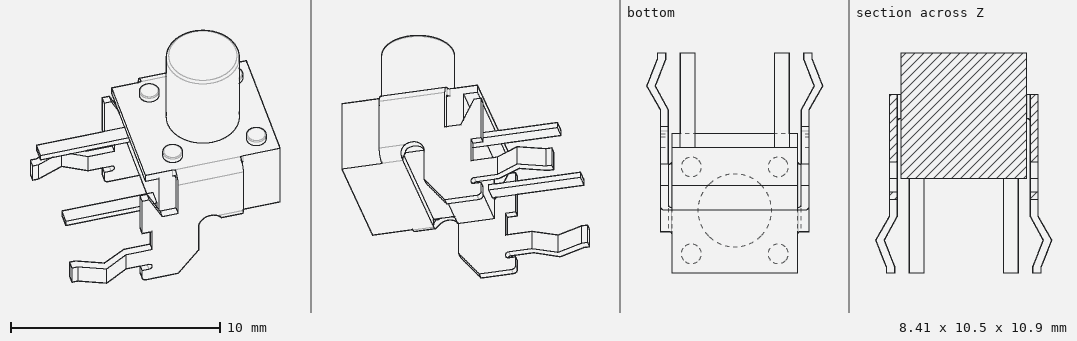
import cadquery as cq


overall_width = 8.41
overall_depth = 10.52
overall_height = 10.86

body_width = 6.0
body_back = 3.0
body_front = -3.0
body_height = 3.72
cover_front = -3.68
cover_thickness = 0.41

button_diameter = 3.5
button_height = 4.22
button_edge_radius = 0.12
rivet_diameter = 0.95
rivet_height = 0.3
rivet_edge_radius = 0.05
rivet_pitch = 4.15

pin_width = 0.72
pin_thickness = 0.3
pin_spacing = 4.5
pin_center_z = -2.64
tip_y = body_back - overall_depth

outer_x = 3.55
sheet = 0.38
inner_x = outer_x - sheet
bend_radius = 0.53
inner_bend_radius = bend_radius - sheet
corner_radius = 0.13
strap_back = 1.02
strap_front = -2.21
strap_step_z = -2.49

notch_back = -0.01
notch_front = -1.19
notch_radius = (notch_back - notch_front) / 2
notch_center_y = (notch_back + notch_front) / 2
notch_center_z = -3.09 - notch_radius
channel_depth = 0.43

blade_bottom = button_height - overall_height
blade_front = -4.0
blade_recess_y = -3.5
chamfer_top_z = -5.3
spike_root_y = body_front
spike_tip_y = -3.65
spike_top_z = -1.145
spike_bottom_z = -3.39
hook_top_z = -5.94
hook_corner_radius = 0.2

tine_top_z = -4.62
tine_bottom_z = -5.61
tine_bend_y = -4.8
tine_peak_y = -5.94
tine_tip_bend_y = -7.23
tine_peak_x = overall_width / 2
tine_tip_x = 3.7
tine_slant_width = 0.415

slot_radius = (tine_bottom_z - hook_top_z) / 2
slot_center_y = blade_recess_y - slot_radius


def block(x_range, y_range, z_range):
    """Box spanning the given coordinate ranges."""
    size = [high - low for low, high in (x_range, y_range, z_range)]
    corner = (x_range[0], y_range[0], z_range[0])
    return cq.Workplane("XY").box(*size, centered=False).translate(corner)


def make_housing():
    half = body_width / 2
    body = block((-half, half), (body_front, body_back), (-body_height, 0))
    cover = block((-half, half), (cover_front, body_back), (-cover_thickness, 0))
    channel = block(
        (-half, half), (notch_front, notch_back), (-body_height, channel_depth - body_height)
    )
    return body.cut(channel).union(cover)


def make_button():
    button = cq.Workplane("XY").circle(button_diameter / 2).extrude(button_height)
    return button.faces(">Z").edges().fillet(button_edge_radius)


def make_rivets():
    rivets = (
        cq.Workplane("XY")
        .rect(rivet_pitch, rivet_pitch, forConstruction=True)
        .vertices()
        .circle(rivet_diameter / 2)
        .extrude(rivet_height)
    )
    return rivets.faces(">Z").edges().fillet(rivet_edge_radius)


def make_pin(center_x):
    return block(
        (center_x - pin_width / 2, center_x + pin_width / 2),
        (tip_y, body_front),
        (pin_center_z - pin_thickness / 2, pin_center_z + pin_thickness / 2),
    )


def make_strap():
    """C-shaped strap on the +X side, bent out of the cover and back under the housing."""
    side_x = body_width / 2
    outside = block((side_x, outer_x), (strap_front, strap_back), (-body_height, 0))
    outside = outside.edges("|Y and >X").fillet(bend_radius)
    gap = block(
        (side_x, inner_x),
        (strap_front, strap_back),
        (cover_thickness - body_height, -cover_thickness),
    )
    gap = gap.edges("|Y and >X").fillet(inner_bend_radius)
    below_step = block(
        (side_x, outer_x), (strap_front, notch_center_y), (-body_height, strap_step_z)
    )
    return outside.cut(gap).cut(below_step)


def make_notch():
    """Cutter for the relief notch through the +X bracket, open at the bottom of the strap."""
    side_x = body_width / 2
    notch = (
        cq.Workplane("YZ", origin=(side_x, 0, 0))
        .center(notch_center_y, notch_center_z)
        .circle(notch_radius)
        .extrude(outer_x - side_x)
    )
    mouth = block((side_x, outer_x), (notch_front, notch_back), (-body_height, notch_center_z))
    return notch.union(mouth)


def make_corner_web(y_edge, direction):
    """Concave fillet in the corner between the cover side and a strap edge."""
    side_x = body_width / 2
    away_y = y_edge + direction * corner_radius
    y_range = sorted((y_edge, away_y))
    web = block((side_x, side_x + corner_radius), y_range, (-cover_thickness, 0))
    hollow = (
        cq.Workplane("XY")
        .center(side_x + corner_radius, away_y)
        .circle(corner_radius)
        .extrude(-cover_thickness)
    )
    return web.cut(hollow)


def make_blade():
    """Flat lower part of the +X bracket, with its upright spike and bottom hook."""
    blade = (
        cq.Workplane("YZ", origin=(inner_x, 0, 0))
        .moveTo(notch_center_y, strap_step_z)
        .lineTo(spike_root_y, strap_step_z)
        .lineTo(spike_tip_y, spike_top_z)
        .lineTo(blade_front, spike_top_z)
        .lineTo(blade_front, spike_bottom_z)
        .lineTo(blade_recess_y, spike_bottom_z)
        .lineTo(blade_recess_y, tine_top_z)
        .lineTo(slot_center_y, tine_top_z)
        .lineTo(slot_center_y, tine_bottom_z)
        .threePointArc((blade_recess_y, tine_bottom_z - slot_radius), (slot_center_y, hook_top_z))
        .lineTo(blade_front, hook_top_z)
        .lineTo(blade_front, blade_bottom)
        .lineTo(strap_front, blade_bottom)
        .lineTo(notch_front, chamfer_top_z)
        .lineTo(notch_front, notch_center_z)
        .lineTo(notch_center_y, notch_center_z)
        .close()
        .extrude(sheet)
    )
    return blade.edges("|X and <Y and <Z").fillet(hook_corner_radius)


def make_tine():
    """Zigzag tine of the +X bracket, bulging outward to snap into the board."""
    outline = [
        (outer_x, slot_center_y),
        (outer_x, tine_bend_y),
        (tine_peak_x, tine_peak_y),
        (tine_tip_x, tine_tip_bend_y),
        (tine_tip_x, tip_y),
        (tine_tip_x - tine_slant_width, tip_y),
        (tine_tip_x - tine_slant_width, tine_tip_bend_y),
        (tine_peak_x - tine_slant_width, tine_peak_y),
        (inner_x, tine_bend_y),
        (inner_x, slot_center_y),
    ]
    tine = cq.Workplane("XY", origin=(0, 0, tine_bottom_z)).polyline(outline).close()
    return tine.extrude(tine_top_z - tine_bottom_z)


def make_bracket():
    bracket = make_strap().union(make_blade()).cut(make_notch()).union(make_tine())
    bracket = bracket.union(make_corner_web(strap_back, 1))
    return bracket.union(make_corner_web(strap_front, -1))


result = make_housing().union(make_button()).union(make_rivets())
for pin_x in (-pin_spacing / 2, pin_spacing / 2):
    result = result.union(make_pin(pin_x))
right_bracket = make_bracket()
result = result.union(right_bracket).union(right_bracket.mirror("YZ"))